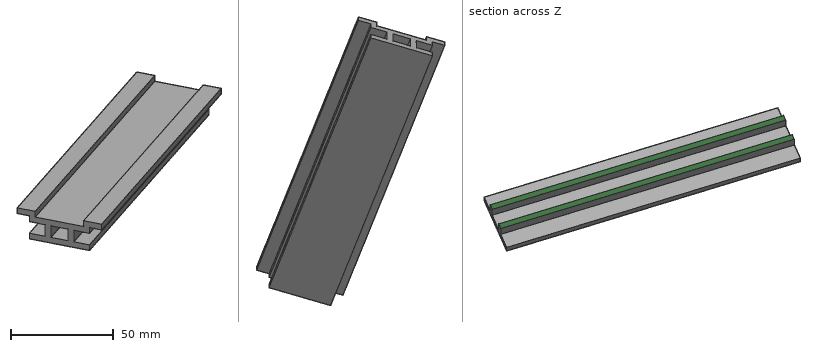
import cadquery as cq

length = 152.4
height = 15.8
overall_width = 44.5

wall = height / 5
body_width = 31.7
lip_spacing = overall_width - 6 * wall
core_width = 8.8

base_bottom = -height / 2
base_top = base_bottom + wall
plate_top = height / 2 - wall
plate_bottom = plate_top - wall


def bar(x_min, x_max, z_min, z_max):
    """Full-length rectangular bar, centred along Y."""
    return cq.Workplane("XY").box(x_max - x_min, length, z_max - z_min).translate(
        ((x_min + x_max) / 2, 0, (z_min + z_max) / 2)
    )


base = bar(-body_width / 2, body_width / 2, base_bottom, base_top)
plate = bar(-body_width / 2, body_width / 2, plate_bottom, plate_top)
result = base.union(plate)

web = bar(core_width / 2, core_width / 2 + wall, base_top, plate_bottom)
lip = bar(lip_spacing / 2, overall_width / 2, plate_top, height / 2)
for side in (web, lip):
    result = result.union(side).union(side.mirror("YZ"))